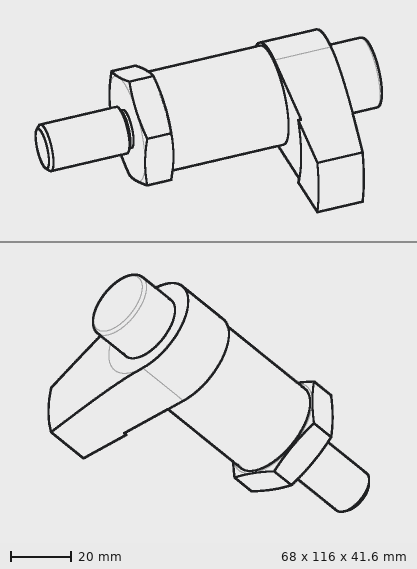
import cadquery as cq
import math


STUD_DIAMETER = 16.0
STUD_LENGTH = 30.0
STUD_TIP_CHAMFER = 1.2
NECK_DIAMETER = 13.0
UNDERCUT_LENGTH = 2.0
NECK_TAPER_ANGLE = 30.0

HEX_ACROSS_FLATS = 36.0
HEX_HEIGHT = 10.0
HEX_CHAMFER_ANGLE = 15.0

BODY_DIAMETER = 34.0
BODY_LENGTH = 41.0

HUB_DIAMETER = 36.0
HUB_HEIGHT = 20.0
LEVER_RADIUS = 50.0
LEVER_TIP_WIDTH = 22.0
LEVER_TOP_DROP = 5.0
LEVER_STEP_RADIUS = 32.5
LEVER_STEP_DEPTH = 1.0

BUTTON_DIAMETER = 24.0
BUTTON_EDGE_RADIUS = 1.0
TOTAL_LENGTH = 116.0

HEX_START = STUD_LENGTH
BODY_START = HEX_START + HEX_HEIGHT
HUB_START = BODY_START + BODY_LENGTH
HUB_END = HUB_START + HUB_HEIGHT


def cylinder(diameter, start, end):
    """Cylinder around the Y axis between two Y positions."""
    disc = cq.Workplane("XZ", origin=(0, start, 0)).circle(diameter / 2)
    return disc.extrude(start - end)


def revolve_profile(points):
    """Solid of revolution around the Y axis from (radius, y) points."""
    return cq.Workplane("XY").polyline(points).close().revolve(360, (0, 0, 0), (0, 1, 0))


def make_stud():
    radius = STUD_DIAMETER / 2
    neck_radius = NECK_DIAMETER / 2
    taper_start = HEX_START - UNDERCUT_LENGTH
    taper_length = (radius - neck_radius) * math.tan(math.radians(NECK_TAPER_ANGLE))
    return revolve_profile([
        (0, 0),
        (radius - STUD_TIP_CHAMFER, 0),
        (radius, STUD_TIP_CHAMFER),
        (radius, taper_start),
        (neck_radius, taper_start + taper_length),
        (neck_radius, HEX_START),
        (0, HEX_START),
    ])


def make_hexagon():
    corner_radius = HEX_ACROSS_FLATS / math.sqrt(3)
    flat_radius = HEX_ACROSS_FLATS / 2
    chamfer_drop = (corner_radius - flat_radius) * math.tan(math.radians(HEX_CHAMFER_ANGLE))

    prism = (
        cq.Workplane("XZ", origin=(0, HEX_START, 0))
        .transformed(rotate=(0, 0, 90))
        .polygon(6, 2 * corner_radius)
        .extrude(-HEX_HEIGHT)
    )
    chamfer_envelope = revolve_profile([
        (0, HEX_START),
        (flat_radius, HEX_START),
        (corner_radius, HEX_START + chamfer_drop),
        (corner_radius, BODY_START - chamfer_drop),
        (flat_radius, BODY_START),
        (0, BODY_START),
    ])
    return prism.intersect(chamfer_envelope)


def make_lever():
    hub_radius = HUB_DIAMETER / 2
    half_tip_width = LEVER_TIP_WIDTH / 2
    tip_x = math.sqrt(LEVER_RADIUS**2 - half_tip_width**2)

    tip_angle = math.asin(half_tip_width / LEVER_RADIUS)
    tangent_angle = tip_angle + math.acos(hub_radius / LEVER_RADIUS)
    tangent_x = hub_radius * math.cos(tangent_angle)
    tangent_z = hub_radius * math.sin(tangent_angle)

    lever_start = HUB_START - LEVER_STEP_DEPTH
    outline = (
        cq.Workplane("XZ", origin=(0, lever_start, 0))
        .moveTo(tangent_x, tangent_z)
        .threePointArc((-hub_radius, 0), (tangent_x, -tangent_z))
        .lineTo(tip_x, -half_tip_width)
        .threePointArc((LEVER_RADIUS, 0), (tip_x, half_tip_width))
        .close()
        .extrude(lever_start - HUB_END)
    )
    height_envelope = revolve_profile([
        (0, HUB_START),
        (LEVER_STEP_RADIUS, HUB_START),
        (LEVER_STEP_RADIUS, lever_start),
        (LEVER_RADIUS, lever_start),
        (LEVER_RADIUS, HUB_END - LEVER_TOP_DROP),
        (hub_radius, HUB_END),
        (0, HUB_END),
    ])
    return outline.intersect(height_envelope)


def make_button():
    button = cylinder(BUTTON_DIAMETER, HUB_END, TOTAL_LENGTH)
    return button.faces(">Y").edges().fillet(BUTTON_EDGE_RADIUS)


body = cylinder(BODY_DIAMETER, BODY_START, HUB_START)
result = make_stud().union(make_hexagon()).union(body).union(make_lever()).union(make_button())